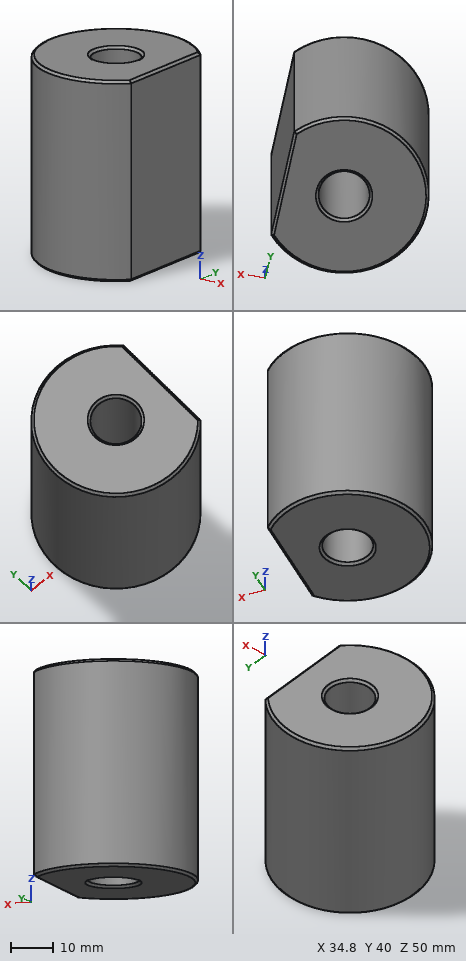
import cadquery as cq

height = 50.0
outer_diameter = 40.0
bore_diameter = 12.05
flat_offset = 14.8
edge_chamfer = 0.65
bore_chamfer = 0.65

body = cq.Workplane("XY").circle(outer_diameter / 2).extrude(height)

flat_cutter = (
    cq.Workplane("XY")
    .box(outer_diameter, outer_diameter, height, centered=(False, True, False))
    .translate((flat_offset, 0, 0))
)
body = body.cut(flat_cutter)

body = body.faces("<Z or >Z").edges().chamfer(edge_chamfer)

body = body.faces(">Z").workplane(origin=(0, 0, height)).hole(bore_diameter)
result = body.faces("<Z or >Z").edges("%CIRCLE").edges(
    cq.selectors.RadiusNthSelector(0)
).chamfer(bore_chamfer)